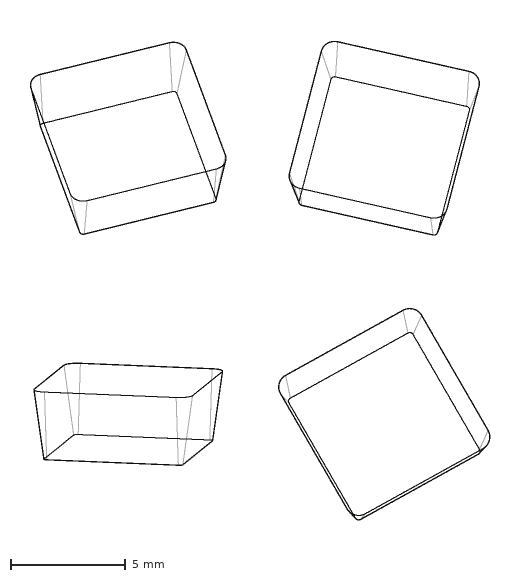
import cadquery as cq

top_width = 7.11
height = 3.1
top_corner_radius = 0.6
side_draft = 8.0

top_outline = cq.Sketch().rect(top_width, top_width).vertices().fillet(top_corner_radius)

result = (
    cq.Workplane("XY")
    .workplane(offset=height)
    .placeSketch(top_outline)
    .extrude(-height, taper=side_draft)
)